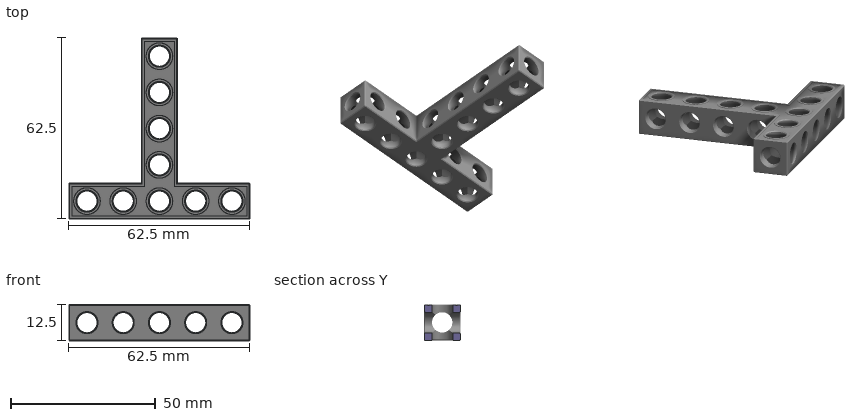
import cadquery as cq

PITCH = 12.5
HOLES_PER_BEAM = 5
LENGTH = PITCH * HOLES_PER_BEAM
HALF_LENGTH = LENGTH / 2
HALF_PITCH = PITCH / 2
HOLE_DIAMETER = 7.0
HOLE_CHAMFER = 0.3
EDGE_CHAMFER = 0.3
RIM_WIDTH = 1.1
RECESS_DEPTH = 0.2
COLLAR_DIAMETER = 9.2
STEM_SIDE_SPAN = 37.0
STEM_HOLES = HOLES_PER_BEAM - 1
STEM_SIDE_PITCH = STEM_SIDE_SPAN / (STEM_HOLES - 1)

BAR_X = [PITCH * (i - (HOLES_PER_BEAM - 1) / 2) for i in range(HOLES_PER_BEAM)]
STEM_Y = [HALF_PITCH + PITCH * (i + 1) for i in range(STEM_HOLES)]
STEM_SIDE_Y = [STEM_Y[-1] - STEM_SIDE_PITCH * i for i in range(STEM_HOLES)]
VERTICAL_CENTRES = [(x, HALF_PITCH) for x in BAR_X] + [(0, y) for y in STEM_Y]


def tee(height, inset=0.0):
    """T-shaped prism standing on Z = 0, with its outline moved inward by inset."""
    standing = (True, True, False)
    long_side = LENGTH - 2 * inset
    short_side = PITCH - 2 * inset
    bar = cq.Workplane("XY", origin=(0, HALF_PITCH, 0)).box(long_side, short_side, height, centered=standing)
    stem = cq.Workplane("XY", origin=(0, HALF_LENGTH, 0)).box(short_side, long_side, height, centered=standing)
    return bar.union(stem).clean()


def hole_cutter(start, direction, length):
    """Through-hole tool of the given length, flared by a chamfer at both ends."""
    bore_radius = HOLE_DIAMETER / 2
    mouth_radius = bore_radius + HOLE_CHAMFER
    bore = cq.Workplane(cq.Plane(origin=start, normal=direction)).circle(bore_radius).extrude(length)
    axis = cq.Vector(*direction)
    near_end = cq.Vector(*start)
    far_end = near_end + axis * length
    near = cq.Solid.makeCone(mouth_radius, bore_radius, HOLE_CHAMFER, near_end, axis)
    far = cq.Solid.makeCone(mouth_radius, bore_radius, HOLE_CHAMFER, far_end, -axis)
    return bore.union(cq.Workplane(near)).union(cq.Workplane(far))


def top_recess():
    """Shallow pocket inside the top border that leaves a collar around each vertical hole."""
    pocket = tee(RECESS_DEPTH, RIM_WIDTH)
    collars = cq.Workplane("XY").pushPoints(VERTICAL_CENTRES).circle(COLLAR_DIAMETER / 2).extrude(RECESS_DEPTH)
    return pocket.cut(collars).translate((0, 0, PITCH - RECESS_DEPTH))


inside_corners = cq.selectors.BoxSelector((-PITCH, HALF_PITCH, 0), (PITCH, PITCH + HALF_PITCH, PITCH))
body = tee(PITCH)
outer_edges = cq.StringSyntaxSelector("|X or |Y or |Z") - (cq.StringSyntaxSelector("|Z") & inside_corners)
body = body.edges(outer_edges).chamfer(EDGE_CHAMFER)
body = body.cut(top_recess())

for x, y in VERTICAL_CENTRES:
    body = body.cut(hole_cutter((x, y, 0), (0, 0, 1), PITCH))

for x in BAR_X:
    depth = LENGTH if x == 0 else PITCH
    body = body.cut(hole_cutter((x, 0, HALF_PITCH), (0, 1, 0), depth))

body = body.cut(hole_cutter((-HALF_LENGTH, HALF_PITCH, HALF_PITCH), (1, 0, 0), LENGTH))
for y in STEM_SIDE_Y:
    body = body.cut(hole_cutter((-HALF_PITCH, y, HALF_PITCH), (1, 0, 0), PITCH))

result = body